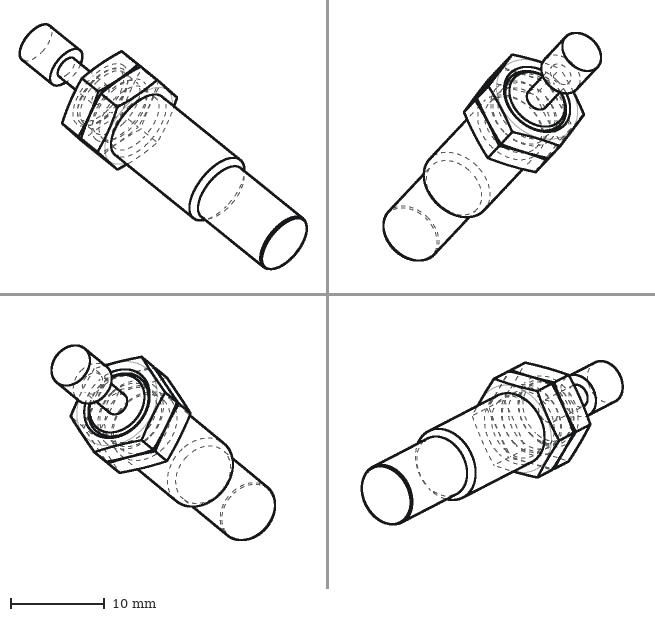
import cadquery as cq
import math


body_diameter = 8.0
tail_diameter = 6.7
front_face_diameter = 6.7
body_length = 29.0
tail_length = 10.0
tail_chamfer_length = 0.2
tail_chamfer_depth = 0.1

rod_diameter = 2.5
cap_diameter = 4.7
plunger_length = 10.8
cap_length = 5.4
dome_radius = 5.0

nut_count = 2
nut_width = 10.0
nut_thickness = 3.0
nut_bore_diameter = 6.92
nut_face_diameter = 9.8
nut_corner_bevel = 0.2

body_radius = body_diameter / 2
tail_radius = tail_diameter / 2
front_face_radius = front_face_diameter / 2
rod_radius = rod_diameter / 2
cap_radius = cap_diameter / 2
nut_bore_radius = nut_bore_diameter / 2
nut_face_radius = nut_face_diameter / 2
nut_corner_diameter = nut_width / math.cos(math.radians(30))
nut_corner_radius = nut_corner_diameter / 2


def dome_sag(radius):
    """Axial drop of the spherical cap end at a given distance from the axis."""
    return dome_radius - math.sqrt(dome_radius**2 - radius**2)


def revolve_about_x(profile):
    """Turn a closed half profile, drawn in XY, about the X axis."""
    return profile.revolve(360, (0, 0, 0), (1, 0, 0))


def make_nut(front):
    """Hexagonal nut with its front face at x = front and corners along Y."""
    back = front + nut_thickness
    hexagon = (
        cq.Workplane("YZ", origin=(front, 0, 0))
        .polygon(6, nut_corner_diameter)
        .extrude(nut_thickness)
    )

    bevelled_blank = revolve_about_x(
        cq.Workplane("XY")
        .moveTo(front, 0)
        .lineTo(front, nut_face_radius)
        .lineTo(front + nut_corner_bevel, nut_corner_radius)
        .lineTo(back - nut_corner_bevel, nut_corner_radius)
        .lineTo(back, nut_face_radius)
        .lineTo(back, 0)
        .close()
    )

    countersink_depth = body_radius - nut_bore_radius
    bore = revolve_about_x(
        cq.Workplane("XY")
        .moveTo(front, 0)
        .lineTo(front, body_radius)
        .lineTo(front + countersink_depth, nut_bore_radius)
        .lineTo(back - countersink_depth, nut_bore_radius)
        .lineTo(back, body_radius)
        .lineTo(back, 0)
        .close()
    )
    return hexagon.intersect(bevelled_blank).cut(bore)


def make_absorber(nuts):
    """Body and plunger in one turned piece, relieved where the nuts sit."""
    tip = -plunger_length
    cap_edge = tip + dome_sag(cap_radius)
    cap_back = tip + cap_length
    front_chamfer = body_radius - front_face_radius
    tail_start = body_length - tail_length
    shoulder_chamfer = body_radius - tail_radius

    dome_mid_radius = cap_radius / 2
    dome_mid = (tip + dome_sag(dome_mid_radius), dome_mid_radius)

    absorber = revolve_about_x(
        cq.Workplane("XY")
        .moveTo(tip, 0)
        .threePointArc(dome_mid, (cap_edge, cap_radius))
        .lineTo(cap_back, cap_radius)
        .lineTo(cap_back, rod_radius)
        .lineTo(0, rod_radius)
        .lineTo(0, front_face_radius)
        .lineTo(front_chamfer, body_radius)
        .lineTo(tail_start - shoulder_chamfer, body_radius)
        .lineTo(tail_start, tail_radius)
        .lineTo(body_length - tail_chamfer_length, tail_radius)
        .lineTo(body_length, tail_radius - tail_chamfer_depth)
        .lineTo(body_length, 0)
        .close()
    )
    for nut in nuts:
        absorber = absorber.cut(nut)
    return absorber


nuts = [make_nut(index * nut_thickness) for index in range(nut_count)]
absorber = make_absorber(nuts)

bodies = [absorber, *nuts]
result = cq.Compound.makeCompound([body.solids().val() for body in bodies])